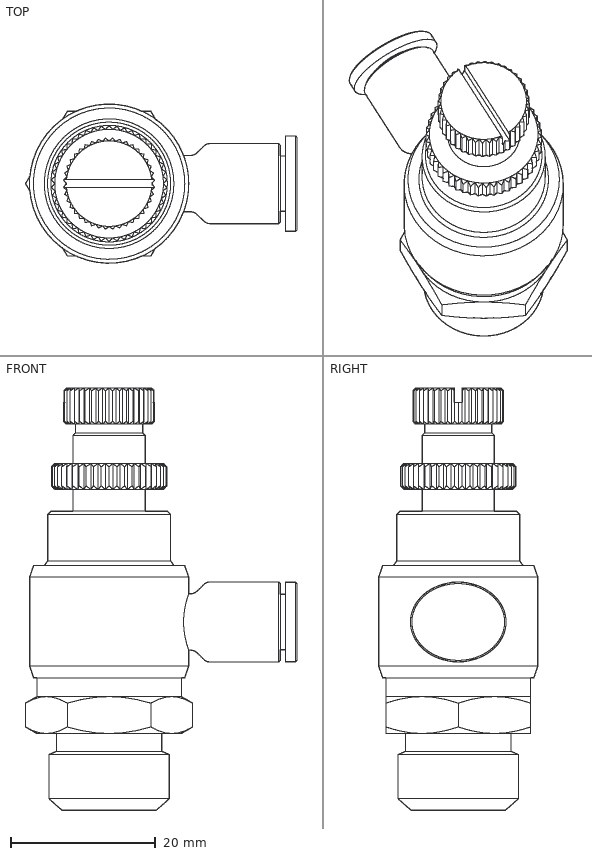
import math

import cadquery as cq

end_face_radius = 6.5
end_cone_radius = 7.1
end_cone_height = 0.5
thread_radius = 8.33
thread_bottom_z = 1.6
thread_top_z = 7.7
relief_radius = 7.3
relief_start_z = 8.15
hex_bottom_z = 10.6
hex_top_z = 15.7
hex_across_flats = 20.0
hex_chamfer_rise = 0.9
collar_radius = hex_across_flats / 2

body_radius = 11.0
body_bottom_z = 18.3
body_top_z = 33.8
body_chamfer_height = 1.6
body_chamfer_depth = 0.55
bonnet_radius = 8.5
bonnet_top_z = 41.3
bonnet_chamfer = 0.45
bonnet_foot_radius = 8.95
bonnet_foot_height = 0.65

spindle_radius = 5.0
spindle_neck_radius = 4.65
spindle_shoulder_z = 51.75
spindle_chamfer = spindle_radius - spindle_neck_radius
nut_radius = 8
nut_bottom_z = 44.3
nut_top_z = 47.9
nut_teeth = 46
knob_radius = 6.3
knob_bottom_z = 53.3
knob_top_z = 58.3
knob_teeth = 40
nut_tooth_depth = 0.5
knob_tooth_depth = 0.4
slot_width = 1.1
slot_depth = 2.0

port_z = 26.0
port_radius = 5.55
port_neck_radius = 3.9
port_throat_x = 11.2
port_cone_start_x = 12.0
port_cone_start_radius = 4.15
port_cone_end_x = 13.2
port_cone_end_radius = 5.3
port_barrel_start_x = 13.9
port_barrel_end_x = 23.65
port_edge_chamfer = 0.25
port_sleeve_radius = 3.85

button_start_x = 24.35
button_end_x = 25.95
button_half_width = 6.6
button_half_height = 5.5
button_chamfer = 0.2


def turned_body():
    """Threaded end, body, bonnet and spindle as one turned profile about Z."""
    chamfered_body_radius = body_radius - body_chamfer_depth
    points = [
        (0, 0),
        (end_face_radius, 0),
        (end_cone_radius, end_cone_height),
        (thread_radius, thread_bottom_z),
        (thread_radius, thread_top_z),
        (relief_radius, relief_start_z),
        (relief_radius, hex_bottom_z),
        (collar_radius, hex_bottom_z),
        (collar_radius, body_bottom_z),
        (chamfered_body_radius, body_bottom_z),
        (body_radius, body_bottom_z + body_chamfer_height),
        (body_radius, body_top_z - body_chamfer_height),
        (chamfered_body_radius, body_top_z),
        (bonnet_foot_radius, body_top_z),
        (bonnet_radius, body_top_z + bonnet_foot_height),
        (bonnet_radius, bonnet_top_z - bonnet_chamfer),
        (bonnet_radius - bonnet_chamfer, bonnet_top_z),
        (spindle_radius, bonnet_top_z),
        (spindle_radius, spindle_shoulder_z),
        (spindle_neck_radius, spindle_shoulder_z + spindle_chamfer),
        (spindle_neck_radius, knob_bottom_z),
        (0, knob_bottom_z),
    ]
    return cq.Workplane("XZ").polyline(points).close().revolve(360, (0, 0), (0, 1))


def chamfered_disc(radius, bottom_z, top_z, chamfer_depth, chamfer_rise):
    """Disc about Z with both rims chamfered; used to trim prisms."""
    points = [
        (0, bottom_z),
        (radius - chamfer_depth, bottom_z),
        (radius, bottom_z + chamfer_rise),
        (radius, top_z - chamfer_rise),
        (radius - chamfer_depth, top_z),
        (0, top_z),
    ]
    return cq.Workplane("XZ").polyline(points).close().revolve(360, (0, 0), (0, 1))


def hexagon():
    """Hexagon with corners on the X axis, rounded off by a cone at both ends."""
    corner_radius = hex_across_flats / math.sqrt(3)
    prism = (
        cq.Workplane("XY", origin=(0, 0, hex_bottom_z))
        .polygon(6, 2 * corner_radius)
        .extrude(hex_top_z - hex_bottom_z)
    )
    chamfer_depth = corner_radius - hex_across_flats / 2
    trim = chamfered_disc(corner_radius, hex_bottom_z, hex_top_z, chamfer_depth, hex_chamfer_rise)
    return prism.intersect(trim)


def knurled_disc(radius, bottom_z, top_z, teeth, tooth_depth):
    """Disc with pointed teeth around its rim and both rims chamfered down to the roots."""
    points = []
    for index in range(2 * teeth):
        angle = math.pi * index / teeth
        point_radius = radius if index % 2 else radius - tooth_depth
        points.append((point_radius * math.cos(angle), point_radius * math.sin(angle)))
    prism = (
        cq.Workplane("XY", origin=(0, 0, bottom_z))
        .polyline(points)
        .close()
        .extrude(top_z - bottom_z)
    )
    return prism.intersect(chamfered_disc(radius, bottom_z, top_z, tooth_depth, tooth_depth))


def slotted_knob():
    """Knurled knob with a screwdriver slot along X across its top."""
    knob = knurled_disc(knob_radius, knob_bottom_z, knob_top_z, knob_teeth, knob_tooth_depth)
    slot = cq.Workplane("XY", origin=(0, 0, knob_top_z - slot_depth)).box(
        2 * knob_radius, slot_width, slot_depth, centered=(True, True, False)
    )
    return knob.cut(slot)


def tube_port():
    """Side port: neck, flared shoulder, barrel and inner sleeve turned about its X axis."""
    shoulder_mid_x = (port_cone_end_x + port_barrel_start_x) / 2
    shoulder_mid_radius = port_radius - (port_radius - port_cone_end_radius) / 4
    throat_mid_x = (port_throat_x + port_cone_start_x) / 2
    throat_mid_radius = port_neck_radius + (port_cone_start_radius - port_neck_radius) / 4
    profile = (
        cq.Workplane("XY", origin=(0, 0, port_z))
        .lineTo(0, port_neck_radius)
        .lineTo(port_throat_x, port_neck_radius)
        .threePointArc(
            (throat_mid_x, throat_mid_radius), (port_cone_start_x, port_cone_start_radius)
        )
        .lineTo(port_cone_end_x, port_cone_end_radius)
        .threePointArc((shoulder_mid_x, shoulder_mid_radius), (port_barrel_start_x, port_radius))
        .lineTo(port_barrel_end_x - port_edge_chamfer, port_radius)
        .lineTo(port_barrel_end_x, port_radius - port_edge_chamfer)
        .lineTo(port_barrel_end_x, port_sleeve_radius)
        .lineTo(button_start_x, port_sleeve_radius)
        .lineTo(button_start_x, 0)
        .close()
    )
    return profile.revolve(360, (0, 0), (1, 0))


def release_button():
    """Oval button, wider along Y than it is tall, with its outer edge chamfered."""
    return (
        cq.Workplane("YZ", origin=(button_start_x, 0, port_z))
        .ellipse(button_half_width, button_half_height)
        .extrude(button_end_x - button_start_x)
        .faces(">X")
        .chamfer(button_chamfer)
    )


lock_nut = knurled_disc(nut_radius, nut_bottom_z, nut_top_z, nut_teeth, nut_tooth_depth)

result = (
    turned_body()
    .union(hexagon())
    .union(lock_nut)
    .union(slotted_knob())
    .union(tube_port())
    .union(release_button())
)